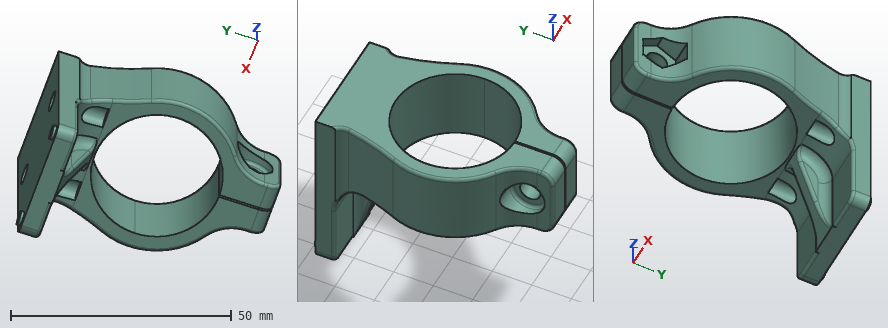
import cadquery as cq
import math

overall_length = 57.05

bore_radius = 15.0
ring_radius = 18.8
ring_height = 19.05
edge_round = 0.8

lug_front_y = -27.8
lug_half_width = 6.35
lug_corner_radius = 3.25
lug_blend_radius = 10.0
slit_width = 0.45

plate_back_y = 28.55
plate_thickness = 4.8
plate_half_width = 14.05
plate_drop = 25.4
plate_corner_radius = 2.5
plate_front_y = plate_back_y - plate_thickness
arch_radius = 8.2
arch_end_y = plate_front_y - arch_radius

waist_step = 0.3
waist_y = 20.6
waist_corner_y = plate_front_y - waist_step
waist_blend_radius = 61.65
waist_join_angle = math.radians(23.2)

rib_half_width = 1.9
rib_root_radius = 2.5
ring_overlap = 0.8
flare_half_width = 4.2

bolt_y = -20.9
bolt_z = ring_height / 2
bolt_diameter = 5.15
seat_x = 4.05
head_diameter = 9.65
nut_across_flats = 9.55

screw_diameter = 4.7
screw_x = 9.55
peg_diameter = 3.3
peg_length = overall_length - (plate_back_y - lug_front_y)
peg_x = 11.2
peg_height = 3.2
peg_z = peg_height - plate_drop


def make_outline():
    """Plan outline of ring, lug and plate, symmetric about the Y axis."""
    blend_reach = ring_radius + lug_blend_radius
    blend_x = lug_half_width + lug_blend_radius
    blend_y = -math.sqrt(blend_reach**2 - blend_x**2)
    lug_join = (-blend_x * ring_radius / blend_reach, blend_y * ring_radius / blend_reach)

    join_cos = math.cos(waist_join_angle)
    join_sin = math.sin(waist_join_angle)
    waist_join = (-ring_radius * join_cos, ring_radius * join_sin)
    waist_reach = ring_radius + waist_blend_radius
    waist_centre_y = waist_reach * join_sin
    waist_x = -waist_reach * join_cos + math.sqrt(waist_blend_radius**2 - (waist_y - waist_centre_y) ** 2)

    return (
        cq.Workplane("XY", origin=(0, 0, -plate_drop))
        .moveTo(0, lug_front_y)
        .lineTo(-lug_half_width, lug_front_y)
        .lineTo(-lug_half_width, blend_y)
        .tangentArcPoint(lug_join, relative=False)
        .threePointArc((-ring_radius, 0), waist_join)
        .tangentArcPoint((waist_x, waist_y), relative=False)
        .tangentArcPoint((-plate_half_width, waist_corner_y), relative=False)
        .lineTo(-plate_half_width, plate_back_y)
        .lineTo(0, plate_back_y)
        .mirrorY()
    )


def make_side_profile():
    """L-shaped side profile, ring above and plate below, joined by the arch."""
    profile = (
        cq.Workplane("YZ")
        .moveTo(lug_front_y, ring_height)
        .lineTo(plate_back_y, ring_height)
        .lineTo(plate_back_y, -plate_drop)
        .lineTo(plate_front_y, -plate_drop)
        .lineTo(plate_front_y, -arch_radius)
        .tangentArcPoint((arch_end_y, 0), relative=False)
        .lineTo(lug_front_y, 0)
        .close()
        .extrude(2 * ring_radius, both=True)
    )
    return profile.faces("<Y").edges("|X").fillet(lug_corner_radius)


def make_body():
    """Ring, lug and plate as one bracket with rounded outer edges."""
    bracket = make_outline().extrude(plate_drop + ring_height).intersect(make_side_profile())
    bracket = bracket.faces("<Z").edges("|Y").fillet(plate_corner_radius)
    lug_edges = bracket.faces("<Y").edges("|Z")
    plate_edges = bracket.faces("<Z").edges("<Y")
    return bracket.newObject(lug_edges.vals() + plate_edges.vals()).fillet(edge_round)


def make_rib():
    """Rib with flared roots, a sloping front face and rounded front edges."""
    block_front_y = arch_end_y - 2 * rib_root_radius
    block = (
        cq.Workplane("XY", origin=(0, block_front_y, -plate_drop))
        .box(2 * rib_half_width, plate_back_y - block_front_y, plate_drop, centered=(True, False, False))
    )
    rib = make_side_profile().union(block)
    rib_sides = rib.faces("|X").faces("not(<X or >X)")
    rib = rib_sides.edges("not(<Y or <Z)").fillet(rib_root_radius)

    space_below_slope = (
        cq.Workplane("YZ")
        .moveTo(plate_front_y, -plate_drop)
        .lineTo(arch_end_y, 0)
        .lineTo(block_front_y, 0)
        .lineTo(block_front_y, -plate_drop)
        .close()
        .extrude(flare_half_width, both=True)
    )
    keep_box = (
        cq.Workplane("XY", origin=(0, arch_end_y, -plate_drop))
        .box(
            2 * flare_half_width,
            plate_back_y - arch_end_y,
            plate_drop + ring_overlap,
            centered=(True, False, False),
        )
    )
    rib = rib.cut(space_below_slope).intersect(keep_box)
    slope_normal = cq.Vector(0, -plate_drop, -arch_radius)
    slope_face = rib.faces(cq.selectors.ParallelDirSelector(slope_normal))
    return slope_face.edges("not(|X or <X or >X)").fillet(edge_round)


def x_cylinder(diameter, start_x, length):
    """Cylinder along +X on the cross bolt axis."""
    return (
        cq.Workplane("YZ", origin=(start_x, bolt_y, bolt_z))
        .circle(diameter / 2)
        .extrude(length)
    )


def make_bolt_cut():
    """Cross bolt hole with a round head seat at -X and a hexagonal nut seat at +X."""
    head_seat = x_cylinder(head_diameter, -ring_radius, ring_radius - seat_x)
    head_seat = head_seat.faces(">X").edges().fillet(edge_round)
    nut_across_corners = nut_across_flats / math.cos(math.pi / 6)
    nut_seat = (
        cq.Workplane("YZ", origin=(seat_x, bolt_y, bolt_z))
        .transformed(rotate=(0, 0, 90))
        .polygon(6, nut_across_corners)
        .extrude(ring_radius - seat_x)
    )
    return x_cylinder(bolt_diameter, -ring_radius, 2 * ring_radius).union(head_seat).union(nut_seat)


def make_slit_cut():
    """Slit that splits the lug from its front face into the bore."""
    return (
        cq.Workplane("XY")
        .box(slit_width, -lug_front_y, ring_height, centered=(True, False, False))
        .translate((0, lug_front_y, 0))
    )


def make_screw_cuts():
    """Two plate screw holes level with the ring underside, from the plate back to the end of the arch."""
    return (
        cq.Workplane("XZ", origin=(0, arch_end_y, 0))
        .pushPoints([(-screw_x, 0), (screw_x, 0)])
        .circle(screw_diameter / 2)
        .extrude(arch_end_y - plate_back_y)
    )


def make_pegs():
    """Two locating pegs low on the back of the plate."""
    return (
        cq.Workplane("XZ", origin=(0, plate_back_y, 0))
        .pushPoints([(-peg_x, peg_z), (peg_x, peg_z)])
        .circle(peg_diameter / 2)
        .extrude(-peg_length)
    )


bore = cq.Workplane("XY").circle(bore_radius).extrude(ring_height)

result = (
    make_body()
    .union(make_rib())
    .cut(bore)
    .cut(make_slit_cut())
    .cut(make_bolt_cut())
    .cut(make_screw_cuts())
    .union(make_pegs())
)